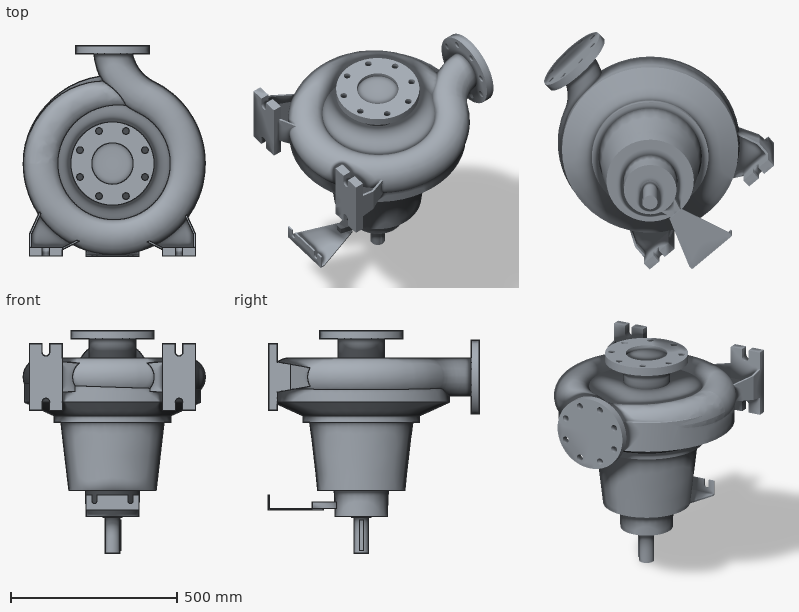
import cadquery as cq
import math


flange_thickness = 25.0
suction_top = 139.5
suction_flange_radius = 125.0
suction_bolt_radius = 106.0
suction_recess_radius = 62.0
suction_recess_depth = 13.0
neck_radius = 70.5
neck_base = 49.0
bolt_count = 8
bolt_hole_diameter = 20.0

casing_radius = 265.0
casing_top = 17.0
casing_bottom = -76.0
collar_radius = 175.5
collar_top = -116.5
collar_bottom = -136.0
housing_top_radius = 155.5
housing_bottom_radius = 131.0
housing_bottom = -342.0
bearing_top_radius = 82.0
bearing_bottom_radius = 79.0
bearing_bottom = -420.0
seal_radius = 29.0
seal_bottom = -422.0
shaft_radius = 22.0
shaft_bottom = -530.5

key_width = 12.0
key_reach = 25.5
key_top = -429.5
key_bottom = -522.0

tube_radius = 57.5
volute_radius = 216.5
volute_offset = 5.5
tongue_radius = 36.0
tongue_centre_distance = 204.5
taper_sections = 5
discharge_end = 355.0
discharge_flange_radius = 111.0
discharge_bolt_radius = 90.0

foot_front = -279.0
foot_thickness = 26.0
foot_height = 201.0
foot_width = 100.0
foot_centre_x = 200.0
foot_slot_width = 22.0
foot_slot_depth = 37.0
bracket_wall = 7.0
bracket_root_half_height = 45.5
bracket_taper = 0.18
bracket_depth = 161.0
outer_wall_bend_y = -212.5
outer_wall_end = (-214.5, -134.0)
inner_wall_end = (-94.0, -224.0)

support_front = -280.0
support_half_width = 80.5
support_straight_depth = 13.5
support_tip_half_width = 23.5
support_tip_y = -114.0
support_sheet = 5.0
support_top = -354.5
support_bottom = -400.5
support_slot_width = 15.0
support_slot_depth = 26.0
support_slot_x = 54.0
lug_height = 20.0
lug_end_y = -148.0
lug_start_y = -53.5
lug_start_half_width = 35.5
lug_end_half_width = 10.0


def bolt_flange(workplane, radius, bolt_radius):
    """Flange disc with its bolt holes straddling the centre lines."""
    half_pitch = 180 / bolt_count
    return (
        workplane.circle(radius)
        .polarArray(bolt_radius, half_pitch, 360, bolt_count)
        .circle(bolt_hole_diameter / 2)
        .extrude(flange_thickness)
    )


def volute_point(angle):
    """Point on the volute centre line, angle in degrees from +X."""
    turn = math.radians(angle)
    return (volute_offset + volute_radius * math.cos(turn), volute_radius * math.sin(turn))


def make_turned_body():
    profile = [
        (0, suction_top - flange_thickness),
        (neck_radius, suction_top - flange_thickness),
        (neck_radius, neck_base),
        (casing_radius, casing_top),
        (casing_radius, casing_bottom),
        (collar_radius, collar_top),
        (collar_radius, collar_bottom),
        (housing_top_radius, collar_bottom),
        (housing_bottom_radius, housing_bottom),
        (bearing_top_radius, housing_bottom),
        (bearing_bottom_radius, bearing_bottom),
        (seal_radius, bearing_bottom),
        (seal_radius, seal_bottom),
        (shaft_radius, seal_bottom),
        (shaft_radius, shaft_bottom),
        (0, shaft_bottom),
    ]
    return cq.Workplane("XZ").polyline(profile).close().revolve(360, (0, 0), (0, 1))


def make_suction_flange():
    base = cq.Workplane("XY").workplane(offset=suction_top - flange_thickness)
    flange = bolt_flange(base, suction_flange_radius, suction_bolt_radius)
    recess_floor = cq.Workplane("XY").workplane(offset=suction_top - suction_recess_depth)
    return flange.cut(recess_floor.circle(suction_recess_radius).extrude(suction_recess_depth))


def make_key():
    height = key_top - key_bottom
    return cq.Workplane("XY").box(key_reach, key_width, height, centered=(False, True, False)).translate(
        (0, 0, key_bottom)
    )


bend_radius = (discharge_end**2 + volute_offset**2 - volute_radius**2) / (2 * (volute_radius + volute_offset))
joint_angle = math.degrees(math.asin(discharge_end / (volute_radius + bend_radius)))


def make_volute_tube():
    bend_mid_turn = math.radians(180 + joint_angle / 2)
    bend_mid = (
        bend_radius + bend_radius * math.cos(bend_mid_turn),
        discharge_end + bend_radius * math.sin(bend_mid_turn),
    )
    arc_mid_angle = (180 + 360 + joint_angle) / 2
    path = (
        cq.Workplane("XY")
        .moveTo(*volute_point(180))
        .threePointArc(volute_point(arc_mid_angle), volute_point(joint_angle))
        .threePointArc(bend_mid, (0, discharge_end))
    )
    return cq.Workplane("XZ", origin=volute_point(180)).circle(tube_radius).sweep(path)


def make_volute_taper():
    """Shrinking end of the volute, from the full tube to the tongue under the outlet bend.

    The shrinkage grows with the square of the angle, so it starts smoothly from the tube.
    """
    start_distance = volute_radius - volute_offset
    sections = []
    for index in range(taper_sections):
        share = index / (taper_sections - 1)
        shrink = share**2
        angle = 180 + share * (joint_angle - 180)
        turn = math.radians(angle)
        distance = start_distance + shrink * (tongue_centre_distance - start_distance)
        radius = tube_radius + shrink * (tongue_radius - tube_radius)
        centre = cq.Vector(distance * math.cos(turn), distance * math.sin(turn), 0)
        tangent = cq.Vector(math.sin(turn), -math.cos(turn), 0)
        sections.append(cq.Wire.makeCircle(radius, centre, tangent))
    return cq.Workplane("XY").add(cq.Solid.makeLoft(sections))


def make_discharge_flange():
    base = cq.Workplane("XZ", origin=(0, discharge_end, 0))
    return bolt_flange(base, discharge_flange_radius, discharge_bolt_radius)


def end_slot(width, depth, thickness):
    """Round-bottomed slot cutter, open at Z = 0 and reaching down, running along +Y."""
    radius = width / 2
    return (
        cq.Workplane("XZ")
        .moveTo(-radius, 0)
        .lineTo(-radius, radius - depth)
        .threePointArc((0, -depth), (radius, radius - depth))
        .lineTo(radius, 0)
        .close()
        .extrude(-thickness)
    )


def upright_wall(points, shift_x, shift_y):
    """Tall wall whose plan is the given line swept sideways by a shift."""
    shifted = [(x + shift_x, y + shift_y) for x, y in reversed(points)]
    plan = cq.Workplane("XY").polyline(points + shifted).close()
    return plan.extrude(bracket_root_half_height, both=True)


def make_left_foot():
    plate_back = foot_front + foot_thickness
    outer_x = -foot_centre_x - foot_width / 2
    inner_x = -foot_centre_x + foot_width / 2

    plate = cq.Workplane("XY").box(foot_width, foot_thickness, foot_height, centered=(True, False, True))
    slot = end_slot(foot_slot_width, foot_slot_depth, foot_thickness).translate((0, 0, foot_height / 2))
    plate = plate.cut(slot).cut(slot.mirror("XY")).translate((-foot_centre_x, foot_front, 0))

    outer_line = [(outer_x, plate_back), (outer_x, outer_wall_bend_y), outer_wall_end]
    inner_line = [(inner_x, plate_back), inner_wall_end]
    outer_wall = upright_wall(outer_line, bracket_wall, 0)
    inner_wall = upright_wall(inner_line, 0, -bracket_wall)
    web_plan = cq.Workplane("XY").polyline(outer_line + inner_line[::-1]).close()
    web = web_plan.extrude(-bracket_wall)

    bracket_end_y = plate_back + bracket_depth
    end_half_height = bracket_root_half_height - bracket_taper * bracket_depth
    side_profile = [
        (foot_front, bracket_root_half_height),
        (plate_back, bracket_root_half_height),
        (bracket_end_y, end_half_height),
        (bracket_end_y, -end_half_height),
        (plate_back, -bracket_root_half_height),
        (foot_front, -bracket_root_half_height),
    ]
    envelope = cq.Workplane("YZ").polyline(side_profile).close().extrude(outer_x)
    return plate.union(outer_wall.union(inner_wall).union(web).intersect(envelope))


def symmetric_plan(right_side, bottom, height):
    """Flat plate symmetric about X = 0, given the corners of its +X side."""
    left_side = [(-x, y) for x, y in reversed(right_side)]
    plan = cq.Workplane("XY").workplane(offset=bottom).polyline(right_side + left_side).close()
    return plan.extrude(height)


def make_bearing_support():
    height = support_top - support_bottom
    upright = cq.Workplane("XY").box(
        2 * support_half_width, support_sheet, height, centered=(True, False, False)
    ).translate((0, support_front, support_bottom))
    for side in (-1, 1):
        slot = end_slot(support_slot_width, support_slot_depth, support_sheet)
        upright = upright.cut(slot.translate((side * support_slot_x, support_front, support_top)))
    sheet = symmetric_plan(
        [
            (support_half_width, support_front),
            (support_half_width, support_front + support_straight_depth),
            (support_tip_half_width, support_tip_y),
        ],
        support_bottom,
        support_sheet,
    )
    lug = symmetric_plan(
        [(lug_end_half_width, lug_end_y), (lug_start_half_width, lug_start_y)],
        support_bottom + support_sheet,
        lug_height,
    )
    return upright.union(sheet).union(lug)


left_foot = make_left_foot()
result = (
    make_turned_body()
    .union(make_volute_tube())
    .union(make_volute_taper())
    .union(make_suction_flange())
    .union(make_discharge_flange())
    .union(make_key())
    .union(left_foot)
    .union(left_foot.mirror("YZ"))
    .union(make_bearing_support())
)